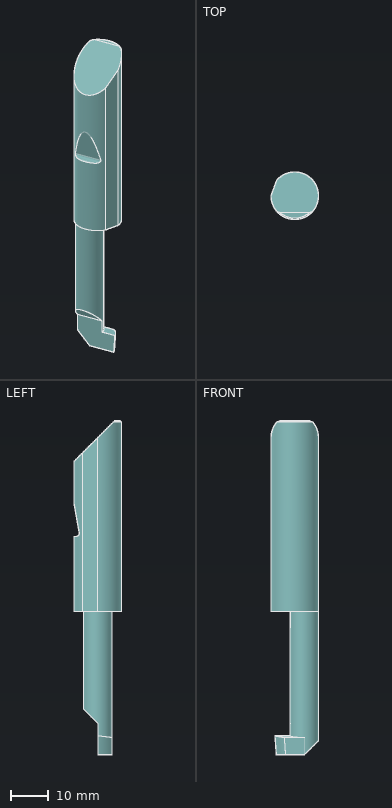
import cadquery as cq
import math

total_length = 88.9
shank_length = 50.8
shank_diameter = 12.7
shank_radius = shank_diameter / 2
shank_bottom = total_length - shank_length

top_land_depth = 1.85
top_rim_chamfer = 0.4

side_flat_half_angle = 20.0

notch_depth = 1.4
notch_step_z = 58.1
notch_ramp_length = 8.8
notch_root_radius = 0.9

neck_diameter = 7.62
neck_radius = neck_diameter / 2
neck_x = shank_radius - neck_radius
relief_height = 8.4

head_height = 5.08
head_tip_x = -5.3
head_front_corner_x = -2.8
head_flank_sagitta = 0.35
top_clearance_angle = 7.0
tip_clearance_angle = 4.0


def bevel_cutter():
    """Wedge that removes the +Y side of the shank top at 45 degrees."""
    start_y = -shank_radius + top_land_depth
    run = 2 * shank_radius
    return (
        cq.Workplane("YZ")
        .moveTo(start_y, total_length)
        .lineTo(start_y + run, total_length - run)
        .lineTo(start_y + run, total_length)
        .close()
        .extrude(shank_diameter, both=True)
    )


def side_flat_cutter():
    """Block whose inner face is the flat along the whole shank."""
    flat_distance = shank_radius * math.cos(math.radians(side_flat_half_angle))
    block = cq.Workplane("XY").box(
        shank_radius, shank_diameter, shank_length, centered=(False, True, False)
    )
    return (
        block.translate((flat_distance, 0, shank_bottom))
        .rotate((0, 0, 0), (0, 0, 1), 180 - side_flat_half_angle)
    )


def notch_cutter():
    """Ramped notch that crosses the shank along X."""
    root_y = shank_radius - notch_depth
    return (
        cq.Workplane("YZ")
        .moveTo(shank_radius, notch_step_z)
        .lineTo(root_y + notch_root_radius, notch_step_z)
        .radiusArc((root_y, notch_step_z + notch_root_radius), notch_root_radius)
        .lineTo(shank_radius, notch_step_z + notch_ramp_length)
        .close()
        .extrude(shank_diameter, both=True)
    )


def shank():
    bar = (
        cq.Workplane("XY", origin=(0, 0, shank_bottom))
        .circle(shank_radius)
        .extrude(shank_length)
        .faces(">Z")
        .chamfer(top_rim_chamfer)
    )
    return bar.cut(bevel_cutter()).cut(side_flat_cutter()).cut(notch_cutter())


def rake_relief_cutter():
    """Removes the +Y half of the neck end, running out upwards at 45 degrees."""
    return (
        cq.Workplane("YZ")
        .lineTo(0, relief_height)
        .lineTo(neck_diameter, relief_height + neck_diameter)
        .lineTo(neck_diameter, 0)
        .close()
        .extrude(shank_diameter, both=True)
    )


def heel_chamfer_cutter():
    """45 degree chamfer under the +X half of the neck."""
    return (
        cq.Workplane("XZ")
        .moveTo(neck_x, 0)
        .lineTo(neck_x + neck_diameter, neck_diameter)
        .lineTo(neck_x + neck_diameter, 0)
        .close()
        .extrude(shank_diameter, both=True)
    )


def neck():
    rod = cq.Workplane("XY").center(neck_x, 0).circle(neck_radius).extrude(shank_bottom)
    return rod.cut(rake_relief_cutter()).cut(heel_chamfer_cutter())


def head_section(height):
    """Plan outline of the head; the flank recedes towards the bottom."""
    inset = (head_height - height) * math.tan(math.radians(tip_clearance_angle))
    tip_x = head_tip_x + inset
    corner_x = head_front_corner_x + inset
    return (
        cq.Workplane("XY", origin=(0, 0, height))
        .moveTo(neck_x, 0)
        .lineTo(tip_x, 0)
        .sagittaArc((corner_x, -neck_radius), -head_flank_sagitta)
        .lineTo(neck_x, -neck_radius)
        .close()
        .wires()
        .val()
    )


def head():
    sections = [head_section(0), head_section(head_height)]
    ruled = True
    block = cq.Workplane(cq.Solid.makeLoft(sections, ruled))
    top_drop = neck_radius * math.tan(math.radians(top_clearance_angle))
    clearance = (
        cq.Workplane("YZ")
        .moveTo(0, head_height)
        .lineTo(-neck_radius, head_height - top_drop)
        .lineTo(-neck_radius, head_height)
        .close()
        .extrude(shank_diameter, both=True)
    )
    return block.cut(clearance)


result = shank().union(neck()).union(head())